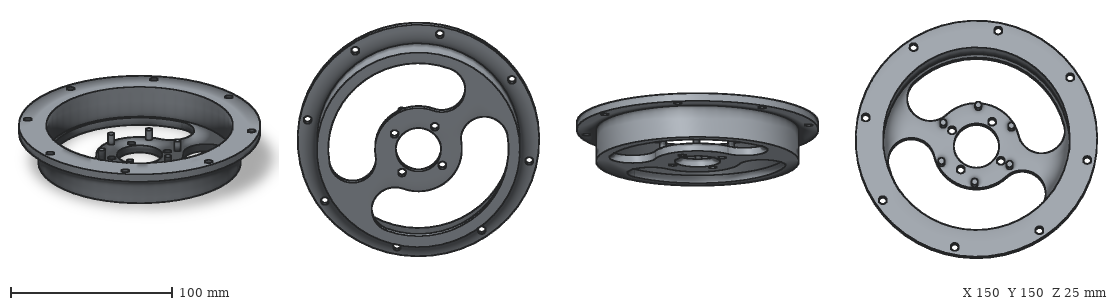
import cadquery as cq
import math

flange_diameter = 150.0
cup_outer_diameter = 126.0
cup_inner_diameter = 116.0
total_height = 25.0
flange_thickness = 5.0
floor_thickness = 5.0

bore_diameter = 28.0
bolt_hole_diameter = 5.0
flange_bolt_radius = 70.0
flange_bolt_count = 8
flange_bolt_start_angle = 21.5
hub_bolt_radius = 18.0
hub_bolt_count = 4

pin_diameter = 4.0
pin_height = 6.6
pin_circle_radius = 24.5
pin_count = 6
pin_start_angle = 30.0

window_inner_radius = 27.0
window_outer_radius = 56.0
window_start_angle = 136.0
window_sweep = 120.0
window_count = 2


def polar(radius, angle):
    """XY point at a radius and an angle in degrees."""
    return (radius * math.cos(math.radians(angle)), radius * math.sin(math.radians(angle)))


def ring_of_cylinders(diameter, height, base_z, circle_radius, count, start_angle):
    """Upright cylinders spaced evenly around the Z axis."""
    points = [polar(circle_radius, start_angle + i * 360 / count) for i in range(count)]
    return cq.Workplane("XY", origin=(0, 0, base_z)).pushPoints(points).circle(diameter / 2).extrude(height)


def make_cup():
    """Cup with a flat floor and a flange around its open top."""
    cup = cq.Workplane("XY").circle(cup_outer_diameter / 2).extrude(total_height)
    flange = (
        cq.Workplane("XY", origin=(0, 0, total_height - flange_thickness))
        .circle(flange_diameter / 2)
        .extrude(flange_thickness)
    )
    cavity = (
        cq.Workplane("XY", origin=(0, 0, floor_thickness))
        .circle(cup_inner_diameter / 2)
        .extrude(total_height - floor_thickness)
    )
    return cup.union(flange).cut(cavity)


def make_window(start_angle):
    """Arc-shaped slot with round ends tangent to both of its long sides."""
    middle_angle = start_angle + window_sweep / 2
    end_angle = start_angle + window_sweep
    middle_radius = (window_inner_radius + window_outer_radius) / 2
    end_radius = (window_outer_radius - window_inner_radius) / 2

    def end_tip(angle, direction):
        x, y = polar(middle_radius, angle)
        dx, dy = polar(end_radius, angle + direction * 90)
        return (x + dx, y + dy)

    return (
        cq.Workplane("XY")
        .moveTo(*polar(window_outer_radius, start_angle))
        .threePointArc(polar(window_outer_radius, middle_angle), polar(window_outer_radius, end_angle))
        .threePointArc(end_tip(end_angle, 1), polar(window_inner_radius, end_angle))
        .threePointArc(polar(window_inner_radius, middle_angle), polar(window_inner_radius, start_angle))
        .threePointArc(end_tip(start_angle, -1), polar(window_outer_radius, start_angle))
        .close()
        .extrude(floor_thickness)
    )


result = make_cup()

for i in range(window_count):
    result = result.cut(make_window(window_start_angle + i * 360 / window_count))
bore = cq.Workplane("XY").circle(bore_diameter / 2).extrude(floor_thickness)
hub_bolt_holes = ring_of_cylinders(
    bolt_hole_diameter, floor_thickness, 0, hub_bolt_radius, hub_bolt_count, 0
)
result = result.cut(bore).cut(hub_bolt_holes)

flange_bolt_holes = ring_of_cylinders(
    bolt_hole_diameter, total_height, 0, flange_bolt_radius, flange_bolt_count, flange_bolt_start_angle
)
result = result.cut(flange_bolt_holes)

pins = ring_of_cylinders(
    pin_diameter, pin_height, floor_thickness, pin_circle_radius, pin_count, pin_start_angle
)
result = result.union(pins)